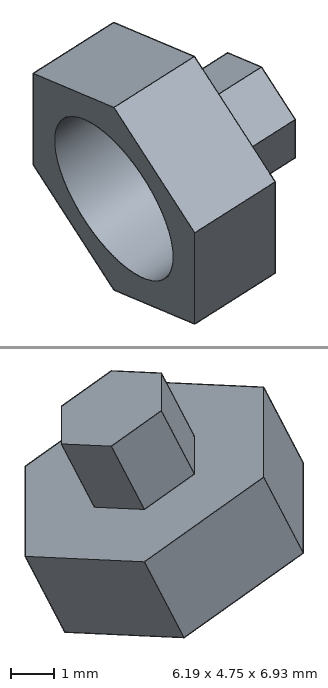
import cadquery as cq
import math

head_across_corners = 6.93
head_length = 2.4
stem_across_corners = 2.905
stem_length = 1.995
bore_diameter = 4.4
bore_depth = 1.995
tilt_angle = 5.0


def hex_prism(across_corners, start, length):
    """Hexagonal prism along +Y, beginning at Y = start."""
    corner_radius = across_corners / 2
    corners = [
        (
            corner_radius * math.sin(math.radians(60 * i)),
            corner_radius * math.cos(math.radians(60 * i)),
        )
        for i in range(6)
    ]
    return cq.Workplane("XZ", origin=(0, start, 0)).polyline(corners).close().extrude(-length)


head = hex_prism(head_across_corners, 0, head_length)
stem = hex_prism(stem_across_corners, head_length, stem_length)

bore = cq.Workplane("XZ").circle(bore_diameter / 2).extrude(-bore_depth)

body = head.union(stem).cut(bore)
result = body.rotate((0, 0, 0), (0, 0, 1), tilt_angle)